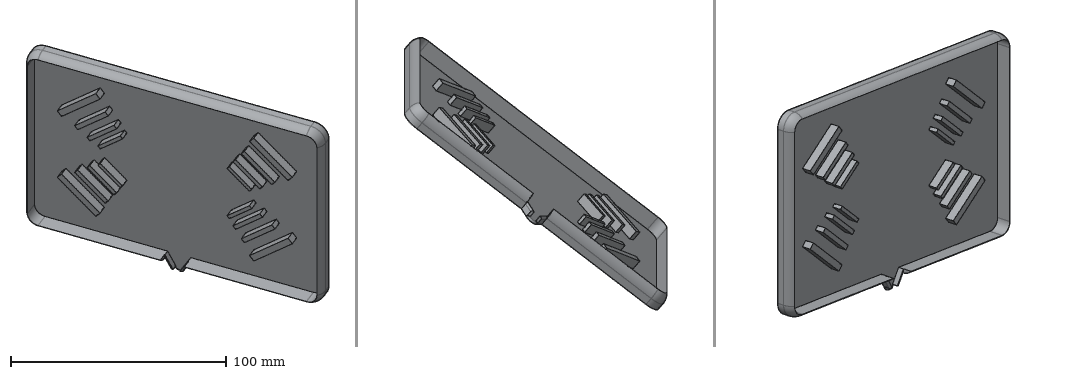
import cadquery as cq
import math


body_width = 152.4
total_height = 109.3
tail_length = 7.6
body_height = total_height - tail_length
corner_radius = 7.5
straight_side_depth = 3.8
rim_round_radius = 7.0
wall_thickness = 2.1
floor_thickness = 1.0

tail_half_width = 6.1
tail_half_angle = math.radians(30)
tail_depth = 4.1
tail_wall_thickness = 1.2
tail_edge_round = 0.9
tail_tip_height = 2.5

bar_angle = 40.0
bar_height = 4.9
bars = [
    (49.2, 26.5, 25.8, 3.4),
    (42.7, 19.4, 20.4, 2.5),
    (37.3, 13.9, 18.0, 2.1),
    (33.0, 9.8, 15.0, 1.8),
]

body_bottom = -body_height / 2
tail_bottom = body_bottom - tail_length
tail_apex = body_bottom - tail_half_width / math.tan(tail_half_angle)
tip_radius = (tail_bottom - tail_apex) / (1 / math.sin(tail_half_angle) - 1)
full_depth = straight_side_depth + rim_round_radius


def facing_front(y):
    """Workplane at the given Y whose extrusions grow towards -Y."""
    return cq.Workplane("XZ", origin=(0, y, 0))


def rounded_slab(width, height, radius, back, depth):
    """Rounded rectangle standing in XZ, from its back face towards -Y."""
    slab = facing_front(back).rect(width, height).extrude(depth)
    return slab.edges("|Y").fillet(radius)


def tail_prism(inset, back, depth):
    """Pointed tail with a rounded tip, its sides and tip moved inwards by inset."""
    radius = tip_radius - inset
    apex = tail_apex + inset / math.sin(tail_half_angle)
    half_width = -apex * math.tan(tail_half_angle)
    tip_bottom = tail_bottom + inset
    touch_x = radius * math.cos(tail_half_angle)
    touch_z = tip_bottom + radius * (1 - math.sin(tail_half_angle))
    return (
        facing_front(back)
        .moveTo(-half_width, 0)
        .lineTo(-touch_x, touch_z)
        .threePointArc((0, tip_bottom), (touch_x, touch_z))
        .lineTo(half_width, 0)
        .close()
        .extrude(depth)
    )


def make_shell_blank():
    body = rounded_slab(body_width, body_height, corner_radius, 0, full_depth)
    return body.faces("<Y").edges().fillet(rim_round_radius)


def make_tail():
    """Tail with a rounded front edge; the tip is stepped back to the floor."""
    tall = tail_prism(0, 0, tail_depth)
    tall = tall.faces("<Y").edges("not #Z").fillet(tail_edge_round)
    tip_top = tail_bottom + tail_tip_height
    above_tip = (
        cq.Workplane("XY", origin=(0, 0, tip_top))
        .rect(body_width, body_width)
        .extrude(body_height)
    )
    tip = tail_prism(0, 0, floor_thickness)
    tip = tip.faces("<Y").edges("not #Z").fillet(tail_edge_round)
    return tall.intersect(above_tip).union(tip)


def make_cavity():
    depth = full_depth - floor_thickness
    body_cavity = rounded_slab(
        body_width - 2 * wall_thickness,
        body_height - 2 * wall_thickness,
        corner_radius - wall_thickness,
        -floor_thickness,
        depth,
    )
    return body_cavity.union(tail_prism(tail_wall_thickness, -floor_thickness, depth))


def make_wall_opening():
    """Square-sided gap through the bottom wall, which the tail then partly fills."""
    return (
        facing_front(-floor_thickness)
        .center(0, body_bottom)
        .rect(2 * tail_half_width, 2 * wall_thickness)
        .extrude(full_depth - floor_thickness)
    )


def make_bar(x, z, length, width, angle):
    return (
        facing_front(-floor_thickness)
        .center(x, z)
        .transformed(rotate=(0, 0, angle))
        .rect(length, width)
        .extrude(bar_height)
    )


result = (
    make_shell_blank()
    .cut(make_wall_opening())
    .union(make_tail())
    .cut(make_cavity())
)

for bar_x, bar_z, bar_length, bar_width in bars:
    for side_x in (-1, 1):
        for side_z in (-1, 1):
            angle = -side_x * side_z * bar_angle
            bar = make_bar(side_x * bar_x, side_z * bar_z, bar_length, bar_width, angle)
            result = result.union(bar)